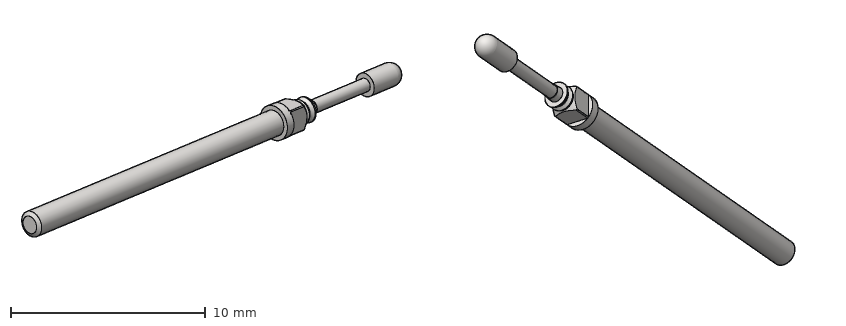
import cadquery as cq
import math

length = 27.9

head_radius = 0.65
head_end = 2.48
shaft_radius = 0.35
shaft_end = 6.53
flare_start_radius = 0.4
flare_end_radius = 0.42

barrel_radius = 0.7
flange_start = 6.95
flange_end = 7.03
groove_radius = 0.55
groove_bottom = 7.25
groove_arc_radius = 0.28
ridge_peak = 7.45
hub_radius = 0.65

square_start = 7.6
square_width = 2 * barrel_radius
square_lead_in = 0.25

collar_radius = 0.95
collar_start = 8.9
collar_end = 9.4
tail_face_radius = 0.47
tail_cone_length = 0.15


def revolve_about_y(profile):
    """Close a half outline along the Y axis and turn it into a solid."""
    return profile.close().revolve(360, (0, 0, 0), (0, 1, 0))


def cylinder(radius, start, end):
    """Round bar between two distances from the tip."""
    bar = cq.Workplane("XZ", origin=(0, -start, 0))
    return bar.circle(radius).extrude(end - start)


def make_plunger():
    """Round-nosed head, thin shaft and the slightly flared neck behind it."""
    dome_mid = head_radius * math.sqrt(0.5)
    profile = (
        cq.Workplane("XY")
        .threePointArc((dome_mid, dome_mid - head_radius), (head_radius, -head_radius))
        .lineTo(head_radius, -head_end)
        .lineTo(shaft_radius, -head_end)
        .lineTo(shaft_radius, -shaft_end)
        .lineTo(flare_start_radius, -shaft_end)
        .lineTo(flare_end_radius, -flange_start)
        .lineTo(0, -flange_start)
    )
    return revolve_about_y(profile)


def make_mouth():
    """Thin flange, hollow groove and sharp ridge ahead of the square."""
    profile = (
        cq.Workplane("XY")
        .moveTo(0, -flange_start)
        .lineTo(barrel_radius, -flange_start)
        .lineTo(barrel_radius, -flange_end)
        .radiusArc((groove_radius, -groove_bottom), -groove_arc_radius)
        .lineTo(barrel_radius, -ridge_peak)
        .lineTo(hub_radius, -square_start)
        .lineTo(0, -square_start)
    )
    return revolve_about_y(profile)


def make_square_drive():
    """Square bar trimmed by a cone at the front and a cylinder at its corners."""
    square = (
        cq.Workplane("XZ", origin=(0, -square_start, 0))
        .rect(square_width, square_width)
        .extrude(collar_start - square_start)
    )
    envelope = revolve_about_y(
        cq.Workplane("XY")
        .moveTo(0, -square_start)
        .lineTo(hub_radius, -square_start)
        .lineTo(collar_radius, -square_start - square_lead_in)
        .lineTo(collar_radius, -collar_start)
        .lineTo(0, -collar_start)
    )
    return square.intersect(envelope)


def make_barrel():
    """Collar and long round barrel ending in a shallow cone."""
    collar = cylinder(collar_radius, collar_start, collar_end)
    tail_cone_start = length - tail_cone_length
    tail = revolve_about_y(
        cq.Workplane("XY")
        .moveTo(0, -collar_end)
        .lineTo(barrel_radius, -collar_end)
        .lineTo(barrel_radius, -tail_cone_start)
        .lineTo(tail_face_radius, -length)
        .lineTo(0, -length)
    )
    return collar.union(tail)


result = make_plunger().union(make_mouth()).union(make_square_drive()).union(make_barrel())